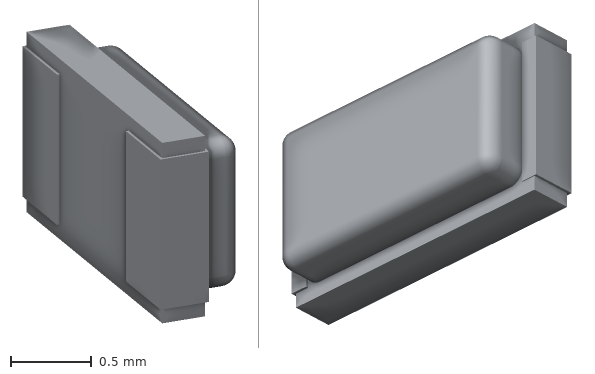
import cadquery as cq

length = 2.09
depth = 0.6

plating = 0.02
terminal_height = 1.0
front_pad_length = 0.525
left_back_plating = 0.006
right_back_plating = 0.018

board_length = length - 2 * plating
board_height = 1.2
board_depth = 0.29
cap_length = 1.843
cap_height = 0.995
cap_depth = depth - plating - board_depth
cap_radius = 0.102

terminal_front = -depth / 2
board_front = terminal_front + plating
board_back = board_front + board_depth


def block(x_min, x_max, y_min, y_max, height):
    """Box between the given X and Y limits, centred on Z = 0."""
    return (
        cq.Workplane("XY")
        .box(x_max - x_min, y_max - y_min, height, centered=(False, False, True))
        .translate((x_min, y_min, 0))
    )


def make_body():
    """Board and rounded cap as one solid."""
    board = block(-board_length / 2, board_length / 2, board_front, board_back, board_height)
    cap = block(-cap_length / 2, cap_length / 2, board_back, board_back + cap_depth, cap_height)
    cap = cap.edges("|Y").fillet(cap_radius)
    cap = cap.faces(">Y").edges().fillet(cap_radius)
    return board.union(cap)


def make_terminal(side, back_plating):
    """C-shaped plating on one end; side is -1 for the left end and 1 for the right."""
    outer_x = length / 2
    end_x = board_length / 2
    back_tip_x = cap_length / 2
    front_tip_x = outer_x - front_pad_length
    terminal_back = board_back + back_plating
    profile = [
        (front_tip_x, terminal_front),
        (outer_x, terminal_front),
        (outer_x, terminal_back),
        (back_tip_x, terminal_back),
        (back_tip_x, board_back),
        (end_x, board_back),
        (end_x, board_front),
        (front_tip_x, board_front),
    ]
    return (
        cq.Workplane("XY")
        .polyline([(side * x, y) for x, y in profile])
        .close()
        .extrude(terminal_height / 2, both=True)
    )


body = make_body()
terminals = [
    make_terminal(side, back_plating)
    for side, back_plating in ((-1, left_back_plating), (1, right_back_plating))
]

result = cq.Compound.makeCompound([body.val(), *[terminal.val() for terminal in terminals]])